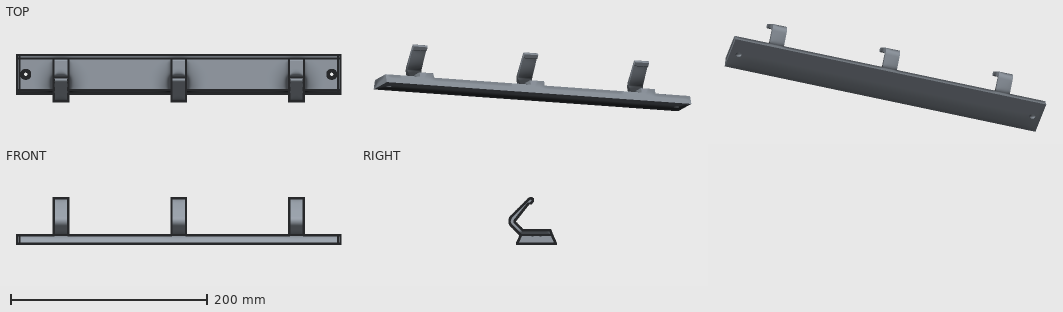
import cadquery as cq
import math

total_length = 330.0
rail_width = 40.0
rail_height = 9.0
side_inset = 4.0
end_plate_thickness = 2.5
bar_length = total_length - 2 * end_plate_thickness

screw_hole_diameter = 6.0
countersink_diameter = 9.0
countersink_angle = 90.0
screw_spacing = 312.0

hook_count = 3
hook_spacing = 120.0
hook_width = 15.0
hook_thickness = 5.0
hook_reach = 47.56
hook_top = 46.69
bend_radius = 6.5
heel_radius = bend_radius - hook_thickness
neck_thickness = 3.0
heel_thickness = 5.6
tip_radius = 2.5
lip_drop = 3.0
foot_back_lean = 1.7
foot_back_radius = 1.0

rail_back = rail_width / 2
rail_front = -rail_width / 2
deck_back = rail_back - side_inset
deck_front = rail_front + side_inset
diagonal = math.sqrt(0.5)


def rail_section(x_start, length):
    """Trapezoid rail profile, extruded along X."""
    return (
        cq.Workplane("YZ", origin=(x_start, 0, 0))
        .moveTo(rail_back, 0)
        .lineTo(rail_front, 0)
        .lineTo(deck_front, rail_height)
        .lineTo(deck_back, rail_height)
        .close()
        .extrude(length)
    )


def make_bar():
    """Rail body with a countersunk screw hole near each end."""
    return (
        rail_section(-bar_length / 2, bar_length)
        .faces(">Z")
        .workplane(origin=(0, 0, rail_height))
        .pushPoints([(-screw_spacing / 2, 0), (screw_spacing / 2, 0)])
        .cskHole(screw_hole_diameter, countersink_diameter, countersink_angle)
    )


def make_end_plate(x_start):
    """Flat plate with the rail's profile, closing one end of the bar."""
    return rail_section(x_start, end_plate_thickness)


def make_hook(x_center):
    """Hook bent from a foot on the deck, forward and up, then back to a rounded tip."""
    foot_top = rail_height + hook_thickness
    foot_back = deck_back - foot_back_lean

    bend_y = rail_back - hook_reach + bend_radius
    bend_offset = bend_radius * diagonal
    bend_start = (bend_y - bend_offset, rail_height + deck_front - bend_y + bend_offset)
    bend_z = bend_start[1] + bend_offset
    bend_front = (bend_y - bend_radius, bend_z)
    bend_end = (bend_y - bend_offset, bend_z + bend_offset)

    outer_rise = bend_end[1] - bend_end[0]
    tip_z = hook_top - tip_radius
    tip_y = tip_z - outer_rise + tip_radius / diagonal

    lower_sum = rail_height + deck_front + hook_thickness / diagonal
    foot_corner = (lower_sum - foot_top, foot_top)
    heel_rise = outer_rise - heel_thickness / diagonal
    heel = ((lower_sum - heel_rise) / 2, (lower_sum + heel_rise) / 2)
    neck_rise = outer_rise - neck_thickness / diagonal
    lip_z = tip_z - lip_drop
    neck = (lip_z - neck_rise, lip_z)

    tip_start = (tip_y - tip_radius * diagonal, tip_z + tip_radius * diagonal)
    tip_crown = (tip_y, hook_top)
    tip_end = (tip_y + tip_radius, tip_z)

    hook = (
        cq.Workplane("YZ", origin=(x_center - hook_width / 2, 0, 0))
        .moveTo(deck_back, rail_height)
        .lineTo(deck_front, rail_height)
        .lineTo(*bend_start)
        .threePointArc(bend_front, bend_end)
        .lineTo(*tip_start)
        .threePointArc(tip_crown, tip_end)
        .lineTo(tip_y, lip_z)
        .lineTo(*neck)
        .lineTo(*heel)
        .lineTo(*foot_corner)
        .lineTo(foot_back, foot_top)
        .close()
        .extrude(hook_width)
    )
    rear_edge = cq.selectors.NearestToPointSelector((x_center, foot_back, foot_top))
    heel_edge = cq.selectors.NearestToPointSelector((x_center, *heel))
    return hook.edges(rear_edge).fillet(foot_back_radius).edges(heel_edge).fillet(heel_radius)


bar = make_bar()
end_plates = [make_end_plate(x) for x in (-total_length / 2, bar_length / 2)]
hooks = [make_hook((i - (hook_count - 1) / 2) * hook_spacing) for i in range(hook_count)]

result = cq.Compound.makeCompound(
    [bar.val(), *[plate.val() for plate in end_plates], *[hook.val() for hook in hooks]]
)